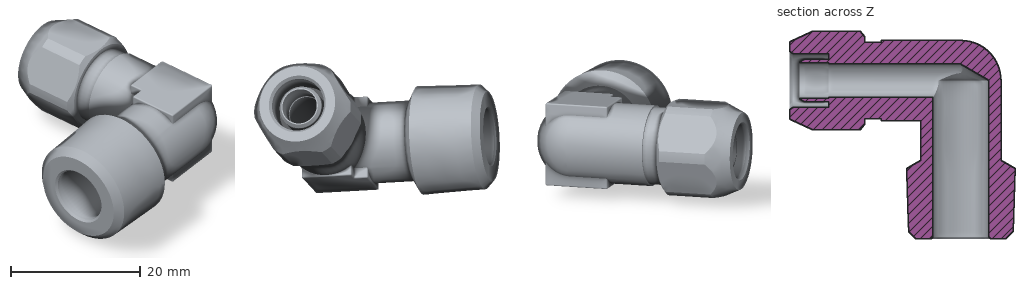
import cadquery as cq
import math


overall_length = 34.95
thread_radius = 16.88 / 2
nut_end_x = thread_radius - overall_length
thread_end_y = -24.5

tube_radius = 6.25
neck_radius = 5.97
neck_end_x = -12.37

pad_half_height = 6.5
pad_outer = 4.0
pad_inner = -6.0
pad_notch = -3.9
pad_fillet = 0.2

nut_sides = 6
nut_turn = 180 / nut_sides
nut_length = 11.65
nut_across_flats = 14.0
nut_corner_radius = 7.65
nut_face_radius = 6.0
nut_taper_length = 3.55
nut_back_chamfer_length = 0.7
nut_back_radius = 6.8

mouth_radius = 4.5
socket_radius = 4.12
mouth_chamfer_length = 0.52
socket_depth = 6.0
sleeve_radius = 3.32
sleeve_tip_radius = 2.9
sleeve_tip_depth = 1.57
sleeve_taper_length = 0.7
sleeve_bore_radius = 2.73
nut_leg_bore_radius = 2.6

thread_start_y = -13.6
thread_chamfer = 1.15
thread_taper = 1 / 32
collar_half_angle = math.radians(60)

thread_bore_radius = 4.3
thread_bore_chamfer = 0.3

drill_half_angle = math.radians(60)


def revolve_about_x(points):
    """Solid of revolution about X from (x, radius) points."""
    return cq.Workplane("XY").polyline(points).close().revolve(360, (0, 0, 0), (1, 0, 0))


def revolve_about_y(points):
    """Solid of revolution about Y from (radius, y) points."""
    return cq.Workplane("XY").polyline(points).close().revolve(360, (0, 0, 0), (0, 1, 0))


def drill_point_length(radius):
    return radius / math.tan(drill_half_angle)


def make_nut():
    back_x = nut_end_x + nut_length
    hexagon = (
        cq.Workplane("YZ", origin=(nut_end_x, 0, 0))
        .polygon(nut_sides, nut_across_flats, circumscribed=True)
        .extrude(nut_length)
        .rotate((0, 0, 0), (1, 0, 0), nut_turn)
    )
    envelope = revolve_about_x([
        (nut_end_x, 0),
        (nut_end_x, nut_face_radius),
        (nut_end_x + nut_taper_length, nut_corner_radius),
        (back_x - nut_back_chamfer_length, nut_corner_radius),
        (back_x, nut_back_radius),
        (back_x, 0),
    ])
    return hexagon.intersect(envelope)


def make_nut_leg():
    neck_start_x = nut_end_x + nut_length / 2
    return revolve_about_x([
        (neck_start_x, 0),
        (neck_start_x, neck_radius),
        (neck_end_x, neck_radius),
        (neck_end_x, tube_radius),
        (0, tube_radius),
        (0, 0),
    ])


def make_thread_leg():
    collar_length = (thread_radius - tube_radius) / math.tan(collar_half_angle)
    chamfer_y = thread_end_y + thread_chamfer
    small_radius = thread_radius - thread_taper * (thread_start_y - chamfer_y)
    return revolve_about_y([
        (0, 0),
        (tube_radius, 0),
        (tube_radius, thread_start_y + collar_length),
        (thread_radius, thread_start_y),
        (small_radius, chamfer_y),
        (small_radius - thread_chamfer, thread_end_y),
        (0, thread_end_y),
    ])


def make_pads():
    outline = [
        (pad_outer, pad_outer),
        (pad_inner, pad_outer),
        (pad_inner, pad_notch),
        (pad_notch, pad_notch),
        (pad_notch, pad_inner),
        (pad_outer, pad_inner),
    ]
    block = (
        cq.Workplane("XY", origin=(0, 0, -pad_half_height))
        .polyline(outline)
        .close()
        .extrude(2 * pad_half_height)
    )
    return block.edges().fillet(pad_fillet)


def make_nut_bore():
    """Sleeve bore, stepping down at the socket floor to the drilled bore of the nut leg."""
    step_x = nut_end_x + socket_depth
    return revolve_about_x([
        (nut_end_x, 0),
        (nut_end_x, sleeve_bore_radius),
        (step_x, sleeve_bore_radius),
        (step_x, nut_leg_bore_radius),
        (0, nut_leg_bore_radius),
        (drill_point_length(nut_leg_bore_radius), 0),
    ])


def make_nut_socket():
    """Space between the nut wall and the sleeve."""
    tip_x = nut_end_x + sleeve_tip_depth
    floor_x = nut_end_x + socket_depth
    return revolve_about_x([
        (nut_end_x, 0),
        (nut_end_x, mouth_radius),
        (nut_end_x + mouth_chamfer_length, socket_radius),
        (floor_x, socket_radius),
        (floor_x, sleeve_radius),
        (tip_x + sleeve_taper_length, sleeve_radius),
        (tip_x, sleeve_tip_radius),
        (tip_x, 0),
    ])


def make_thread_bore():
    return revolve_about_y([
        (0, thread_end_y),
        (thread_bore_radius + thread_bore_chamfer, thread_end_y),
        (thread_bore_radius, thread_end_y + thread_bore_chamfer),
        (thread_bore_radius, 0),
        (0, drill_point_length(thread_bore_radius)),
    ])


elbow_corner = cq.Workplane("XY").sphere(tube_radius)

result = (
    make_nut_leg()
    .union(make_thread_leg())
    .union(elbow_corner)
    .union(make_pads())
    .union(make_nut())
    .cut(make_nut_bore())
    .cut(make_nut_socket())
    .cut(make_thread_bore())
)